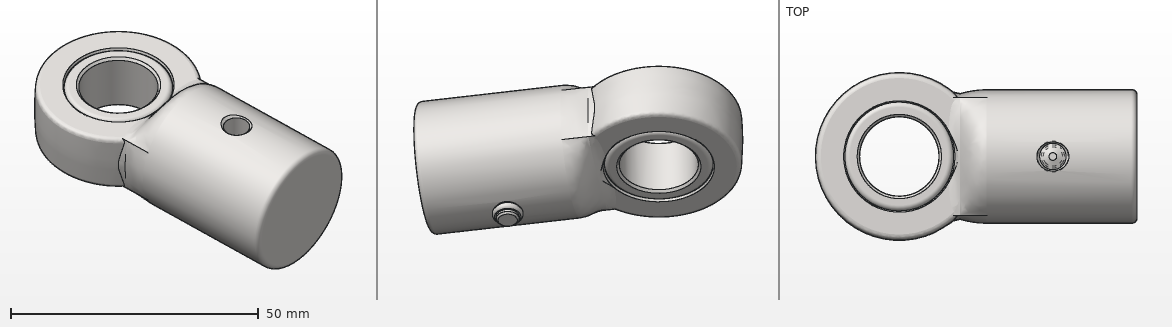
import cadquery as cq
import math


EYE_RADIUS = 16.95
EYE_THICKNESS = 13.0
EYE_CROWN = 0.25
EYE_EDGE_FILLET = 1.0
EYE_HALF = EYE_THICKNESS / 2

OVERALL_LENGTH = 64.95
BARREL_RADIUS = 13.5
BARREL_START = 17.7
BARREL_END = OVERALL_LENGTH - EYE_RADIUS
BARREL_END_FILLET = 1.1

NECK_ROOT = 9.75
WAIST_START = 10.6
WAIST_RADIUS = 2.5
DOME_START = 12.3
DOME_HALF_HEIGHT = 8.3
CORNER_Y = 11.9
CORNER_Z = math.sqrt(BARREL_RADIUS**2 - CORNER_Y**2)
SECTIONS_PER_STRETCH = 5

BORE_RADIUS = 8.0
BORE_CHAMFER = 0.5
INNER_RING_RADIUS = 11.0
INNER_RING_FILLET = 1.05
LINER_OUTER_RADIUS = 11.25
SEAT_FLARE_ANGLE = 26.0
SEAT_FLARE_SLOPE = math.tan(math.radians(SEAT_FLARE_ANGLE))

CROSS_HOLE_X = 31.0
CROSS_HOLE_RADIUS = 2.65
CROSS_HOLE_MOUTH_RADIUS = 3.25
NIPPLE_TIP_RADIUS = 0.8
NIPPLE_TIP_Z = -6.5
NIPPLE_CONE_HEIGHT = 0.8
COLLAR_BASE_RADIUS = 2.65
COLLAR_RADIUS = 3.1
COLLAR_HEIGHT = 1.55
NIPPLE_HEAD_RADIUS = 2.35
NIPPLE_HEAD_HEIGHT = 0.9
NIPPLE_HEAD_CHAMFER = 0.4


def revolve_about_z(profile):
    """Solid of revolution from a closed profile of (radius, height) points."""
    return cq.Workplane("XZ").polyline(profile).close().revolve(360, (0, 0, 0), (0, 1, 0))


def make_eye():
    """Disc with a slightly crowned rim and rounded edges."""
    face_radius = EYE_RADIUS - EYE_CROWN
    disc = (
        cq.Workplane("XZ")
        .moveTo(0, -EYE_HALF)
        .lineTo(face_radius, -EYE_HALF)
        .threePointArc((EYE_RADIUS, 0), (face_radius, EYE_HALF))
        .lineTo(0, EYE_HALF)
        .close()
        .revolve(360, (0, 0, 0), (0, 1, 0))
    )
    return disc.faces("|Z").edges().fillet(EYE_EDGE_FILLET)


def waist_half_width(x):
    """Half-width of the neck on the arc that sweeps inward from the rim of the eye."""
    start_y = math.sqrt(EYE_RADIUS**2 - WAIST_START**2)
    if x <= WAIST_START:
        return start_y
    centre_x = WAIST_START * (1 + WAIST_RADIUS / EYE_RADIUS)
    centre_y = start_y * (1 + WAIST_RADIUS / EYE_RADIUS)
    return centre_y - math.sqrt(WAIST_RADIUS**2 - (x - centre_x) ** 2)


def root_section(fraction):
    """Position, half-width and half-height on the concave root, from the eye to the dome."""
    x = NECK_ROOT + fraction * (DOME_START - NECK_ROOT)
    half_height = EYE_HALF + (DOME_HALF_HEIGHT - EYE_HALF) * fraction**2
    return x, waist_half_width(x), half_height


def dome_section(fraction):
    """Position, half-width and half-height on the dome, whose parabolas run into the barrel."""
    drop = (1 - fraction) ** 2
    x = DOME_START + fraction * (BARREL_START - DOME_START)
    half_width = BARREL_RADIUS - (BARREL_RADIUS - waist_half_width(DOME_START)) * drop
    half_height = BARREL_RADIUS - (BARREL_RADIUS - DOME_HALF_HEIGHT) * drop
    return x, half_width, half_height


def section_wire(x, half_width, half_height):
    """Closed outline of four arcs through the four corners of the neck."""
    return (
        cq.Workplane("YZ")
        .workplane(offset=x)
        .moveTo(CORNER_Y, -CORNER_Z)
        .threePointArc((half_width, 0), (CORNER_Y, CORNER_Z))
        .threePointArc((0, half_height), (-CORNER_Y, CORNER_Z))
        .threePointArc((-half_width, 0), (-CORNER_Y, -CORNER_Z))
        .threePointArc((0, -half_height), (CORNER_Y, -CORNER_Z))
        .close()
        .val()
    )


def make_neck_stretch(section_at):
    """Smooth solid through evenly spaced sections."""
    wires = [
        section_wire(*section_at(i / (SECTIONS_PER_STRETCH - 1)))
        for i in range(SECTIONS_PER_STRETCH)
    ]
    return cq.Workplane(cq.Solid.makeLoft(wires))


def make_barrel():
    """Round bar along X with a rounded end."""
    bar = cq.Workplane("YZ").workplane(offset=BARREL_START).circle(BARREL_RADIUS)
    bar = bar.extrude(BARREL_END - BARREL_START)
    return bar.faces(">X").edges().fillet(BARREL_END_FILLET)


def make_cross_hole():
    """Hole through the barrel along Z, with a countersunk upper mouth."""
    mouth_depth = CROSS_HOLE_MOUTH_RADIUS - CROSS_HOLE_RADIUS
    profile = [
        (0, -BARREL_RADIUS),
        (CROSS_HOLE_RADIUS, -BARREL_RADIUS),
        (CROSS_HOLE_RADIUS, BARREL_RADIUS - mouth_depth),
        (CROSS_HOLE_MOUTH_RADIUS, BARREL_RADIUS),
        (0, BARREL_RADIUS),
    ]
    return revolve_about_z(profile).translate((CROSS_HOLE_X, 0, 0))


def make_bearing_seat():
    """Cylinder as long as the eye is thick, flaring beyond both faces to clear the neck."""
    flare_radius = LINER_OUTER_RADIUS + (BARREL_RADIUS - EYE_HALF) * SEAT_FLARE_SLOPE
    profile = [
        (0, -BARREL_RADIUS),
        (flare_radius, -BARREL_RADIUS),
        (LINER_OUTER_RADIUS, -EYE_HALF),
        (LINER_OUTER_RADIUS, EYE_HALF),
        (flare_radius, BARREL_RADIUS),
        (0, BARREL_RADIUS),
    ]
    return revolve_about_z(profile)


def make_housing():
    """Eye, neck and barrel in one piece, with bearing seat and cross hole cut through."""
    return (
        make_eye()
        .union(make_neck_stretch(root_section))
        .union(make_neck_stretch(dome_section))
        .union(make_barrel())
        .cut(make_bearing_seat())
        .cut(make_cross_hole())
    )


def make_liner():
    """Thin sleeve between the housing and the inner ring, bevelled inward at both ends."""
    bevel_z = EYE_HALF - (LINER_OUTER_RADIUS - INNER_RING_RADIUS) / SEAT_FLARE_SLOPE
    profile = [
        (LINER_OUTER_RADIUS, -EYE_HALF),
        (LINER_OUTER_RADIUS, EYE_HALF),
        (INNER_RING_RADIUS, bevel_z),
        (INNER_RING_RADIUS, -bevel_z),
    ]
    return revolve_about_z(profile)


def make_inner_ring():
    """Ring with rounded outer edges and a chamfered bore."""
    disc = (
        cq.Workplane("XY")
        .workplane(offset=-EYE_HALF)
        .circle(INNER_RING_RADIUS)
        .extrude(EYE_THICKNESS)
        .faces("|Z")
        .edges()
        .fillet(INNER_RING_FILLET)
    )
    ring = disc.faces(">Z").workplane().hole(2 * BORE_RADIUS)
    return ring.faces("|Z").edges(cq.selectors.RadiusNthSelector(0)).chamfer(BORE_CHAMFER)


def make_nipple():
    """Grease nipple in the lower half of the cross hole, with its conical tip pointing up."""
    collar_top = -BARREL_RADIUS
    collar_bottom = collar_top - COLLAR_HEIGHT
    head_bottom = collar_bottom - NIPPLE_HEAD_HEIGHT
    body = (
        cq.Workplane("XZ")
        .moveTo(0, NIPPLE_TIP_Z)
        .lineTo(NIPPLE_TIP_RADIUS, NIPPLE_TIP_Z)
        .lineTo(CROSS_HOLE_RADIUS, NIPPLE_TIP_Z - NIPPLE_CONE_HEIGHT)
        .lineTo(COLLAR_BASE_RADIUS, collar_top)
        .threePointArc(
            (COLLAR_RADIUS, collar_top - COLLAR_HEIGHT / 2), (COLLAR_BASE_RADIUS, collar_bottom)
        )
        .lineTo(NIPPLE_HEAD_RADIUS, collar_bottom)
        .lineTo(NIPPLE_HEAD_RADIUS, head_bottom + NIPPLE_HEAD_CHAMFER)
        .lineTo(NIPPLE_HEAD_RADIUS - NIPPLE_HEAD_CHAMFER, head_bottom)
        .lineTo(0, head_bottom)
        .close()
        .revolve(360, (0, 0, 0), (0, 1, 0))
    )
    return body.translate((CROSS_HOLE_X, 0, 0))


housing = make_housing()
liner = make_liner()
inner_ring = make_inner_ring()
nipple = make_nipple()

bodies = [housing, liner, inner_ring, nipple]
result = cq.Compound.makeCompound([body.solids().val() for body in bodies])